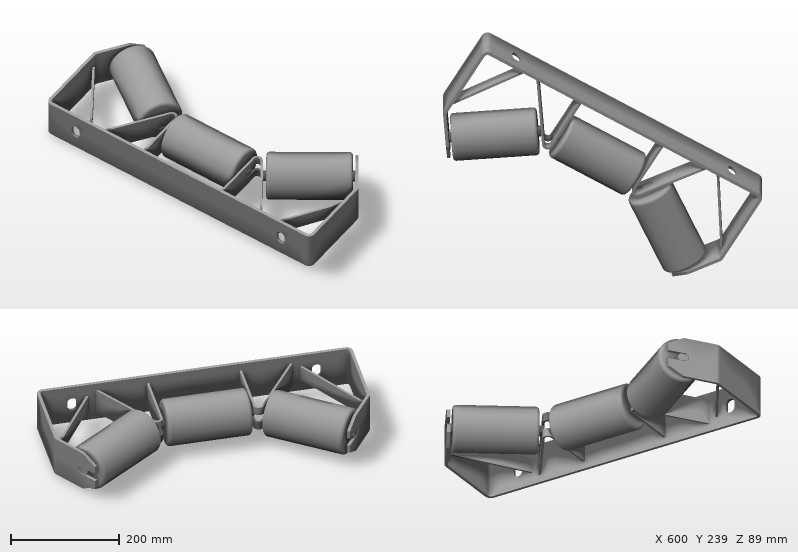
import cadquery as cq
import math


TILT = 35.0

FRAME_LENGTH = 600.0
STRIP_HEIGHT = 80.5
STRIP_THICKNESS = 6.0
STRIP_BEND = 12.0
WALL_BEND_Y = 150.0
FLANGE_LENGTH = 96.5
TIP_WIDTH = 48.0
TIP_CUT_LENGTH = 30.5

MOUNT_SLOT_X = 232.0
MOUNT_SLOT_WIDTH = 18.0
MOUNT_SLOT_HEIGHT = 28.0

PLATE_THICKNESS = 4.5
BRACKET_HEIGHT = 50.0
BRACKET_BEND = 11.0
BRACKET_FACE_X = 86.0
BRACKET_ARCH_Y = 116.5
BRACE_HEIGHT = 30.0
BRACE_TOP_Y = 141.0
BRACE_FOOT_X = 206.0

ROLLER_DIAMETER = 89.0
ROLLER_LENGTH = 160.0
ROLLER_FILLET = 6.0
SHAFT_DIAMETER = 20.0
SHAFT_LENGTH = 180.0
SHAFT_ROUND_LENGTH = 169.0
SHAFT_FLATS = 14.0
CENTRE_ROLLER_Y = 99.5
WING_ROLLER_X = 185.5
WING_ROLLER_Y = 159.0

SHAFT_SLOT_WIDTH = 16.0
SHAFT_SLOT_DROP = 3.0
SHAFT_SLOT_LENGTH = SHAFT_LENGTH + 12.0
SHAFT_SLOT_DEPTH = 60.0

SIN = math.sin(math.radians(TILT))
COS = math.cos(math.radians(TILT))
HALF_LENGTH = FRAME_LENGTH / 2
WALL_INNER_X = HALF_LENGTH - STRIP_THICKNESS


def plate(outline, height):
    """Extrude a closed XY outline, centred on the XY plane."""
    return outline.extrude(height / 2, both=True)


def on_arc(centre, radius, angle):
    """Point on a circle, with the angle in degrees from +X."""
    a = math.radians(angle)
    return (centre[0] + radius * math.cos(a), centre[1] + radius * math.sin(a))


def rod(diameter, length):
    """Round rod along X, centred on the origin."""
    return cq.Workplane("YZ", origin=(-length / 2, 0, 0)).circle(diameter / 2).extrude(length)


def mirrored(body):
    return body.mirror("YZ")


def at_centre(body):
    return body.translate((0, CENTRE_ROLLER_Y, 0))


def at_wing(body):
    tilted = body.rotate((0, 0, 0), (0, 0, 1), TILT)
    return tilted.translate((WING_ROLLER_X, WING_ROLLER_Y, 0))


def at_all_stations(body):
    """Copies of a body at the centre, +X and -X roller positions."""
    wing = at_wing(body)
    return [at_centre(body), wing, mirrored(wing)]


LOWER_BEND = (HALF_LENGTH - STRIP_BEND, STRIP_BEND)
UPPER_BEND = (HALF_LENGTH - STRIP_BEND, WALL_BEND_Y)


def flange_tip(radius):
    """Tip corner of the leaning flange, on the face that continues the given bend radius."""
    x, y = on_arc(UPPER_BEND, radius, TILT)
    return (x - FLANGE_LENGTH * SIN, y + FLANGE_LENGTH * COS)


def half_strip():
    inner_bend = STRIP_BEND - STRIP_THICKNESS
    outline = (
        cq.Workplane("XY")
        .lineTo(*on_arc(LOWER_BEND, STRIP_BEND, -90))
        .threePointArc(on_arc(LOWER_BEND, STRIP_BEND, -45), on_arc(LOWER_BEND, STRIP_BEND, 0))
        .lineTo(*on_arc(UPPER_BEND, STRIP_BEND, 0))
        .threePointArc(on_arc(UPPER_BEND, STRIP_BEND, TILT / 2), on_arc(UPPER_BEND, STRIP_BEND, TILT))
        .lineTo(*flange_tip(STRIP_BEND))
        .lineTo(*flange_tip(inner_bend))
        .lineTo(*on_arc(UPPER_BEND, inner_bend, TILT))
        .threePointArc(on_arc(UPPER_BEND, inner_bend, TILT / 2), on_arc(UPPER_BEND, inner_bend, 0))
        .lineTo(*on_arc(LOWER_BEND, inner_bend, 0))
        .threePointArc(on_arc(LOWER_BEND, inner_bend, -45), on_arc(LOWER_BEND, inner_bend, -90))
        .lineTo(0, STRIP_THICKNESS)
        .close()
    )
    corner = tip_corner()
    strip = plate(outline, STRIP_HEIGHT).cut(corner).cut(corner.mirror("XY"))
    return strip.cut(mount_slot())


def tip_corner():
    """Wedge that cuts the upper corner off the flange tip."""
    tip_x, tip_y = flange_tip(STRIP_BEND)
    flange_plane = cq.Plane((tip_x, tip_y, 0), xDir=(-SIN, COS, 0), normal=(COS, SIN, 0))
    return (
        cq.Workplane(flange_plane)
        .moveTo(0, TIP_WIDTH / 2)
        .lineTo(0, STRIP_HEIGHT / 2)
        .lineTo(-TIP_CUT_LENGTH, STRIP_HEIGHT / 2)
        .close()
        .extrude(2 * STRIP_THICKNESS, both=True)
    )


def mount_slot():
    return (
        cq.Workplane("XZ")
        .center(MOUNT_SLOT_X, 0)
        .slot2D(MOUNT_SLOT_HEIGHT, MOUNT_SLOT_WIDTH, 90)
        .extrude(-STRIP_THICKNESS)
    )


def bracket():
    """Arched plate with an upright leg and a leg square to the wing roller's axis."""
    arch = (BRACKET_FACE_X + BRACKET_BEND, BRACKET_ARCH_Y)
    inner_bend = BRACKET_BEND - PLATE_THICKNESS
    arch_middle = (180 + TILT) / 2

    def sloping_foot(radius):
        x, y = on_arc(arch, radius, TILT)
        return (x + (y - STRIP_THICKNESS) * SIN / COS, STRIP_THICKNESS)

    outline = (
        cq.Workplane("XY")
        .moveTo(BRACKET_FACE_X, STRIP_THICKNESS)
        .lineTo(*on_arc(arch, BRACKET_BEND, 180))
        .threePointArc(on_arc(arch, BRACKET_BEND, arch_middle), on_arc(arch, BRACKET_BEND, TILT))
        .lineTo(*sloping_foot(BRACKET_BEND))
        .lineTo(*sloping_foot(inner_bend))
        .lineTo(*on_arc(arch, inner_bend, TILT))
        .threePointArc(on_arc(arch, inner_bend, arch_middle), on_arc(arch, inner_bend, 180))
        .lineTo(BRACKET_FACE_X + PLATE_THICKNESS, STRIP_THICKNESS)
        .close()
    )
    return plate(outline, BRACKET_HEIGHT)


def brace():
    """Diagonal plate from the base to the side wall, cut square at its upper end."""
    lean = math.atan2(WALL_INNER_X - BRACE_FOOT_X, BRACE_TOP_Y - STRIP_THICKNESS)
    foot_width = PLATE_THICKNESS / math.cos(lean)
    upper_end = (
        WALL_INNER_X - PLATE_THICKNESS * math.cos(lean),
        BRACE_TOP_Y + PLATE_THICKNESS * math.sin(lean),
    )
    outline = (
        cq.Workplane("XY")
        .moveTo(BRACE_FOOT_X, STRIP_THICKNESS)
        .lineTo(WALL_INNER_X, BRACE_TOP_Y)
        .lineTo(*upper_end)
        .lineTo(BRACE_FOOT_X - foot_width, STRIP_THICKNESS)
        .close()
    )
    return plate(outline, BRACE_HEIGHT)


def shaft_slot():
    """Round-bottomed slot, open towards +Y, for both ends of a shaft on the X axis."""
    opening = (
        cq.Workplane("XY")
        .box(SHAFT_SLOT_LENGTH, SHAFT_SLOT_DEPTH, SHAFT_SLOT_WIDTH)
        .translate((0, SHAFT_SLOT_DEPTH / 2, 0))
    )
    slot = rod(SHAFT_SLOT_WIDTH, SHAFT_SLOT_LENGTH).union(opening)
    return slot.translate((0, -SHAFT_SLOT_DROP, 0))


def make_frame():
    half = half_strip().union(bracket()).union(brace())
    frame = half.union(mirrored(half))
    for slot in at_all_stations(shaft_slot()):
        frame = frame.cut(slot)
    return frame


def make_roller():
    """Roller with its shaft along X; the shaft ends have two flats facing +Z and -Z."""
    drum = rod(ROLLER_DIAMETER, ROLLER_LENGTH).faces("<X or >X").edges().fillet(ROLLER_FILLET)
    flats = cq.Workplane("XY").box(SHAFT_LENGTH, SHAFT_DIAMETER, SHAFT_FLATS)
    shaft_ends = rod(SHAFT_DIAMETER, SHAFT_LENGTH).intersect(flats)
    return drum.union(rod(SHAFT_DIAMETER, SHAFT_ROUND_LENGTH)).union(shaft_ends)


frame = make_frame()
rollers = at_all_stations(make_roller())

result = cq.Compound.makeCompound([frame.val(), *[roller.val() for roller in rollers]])